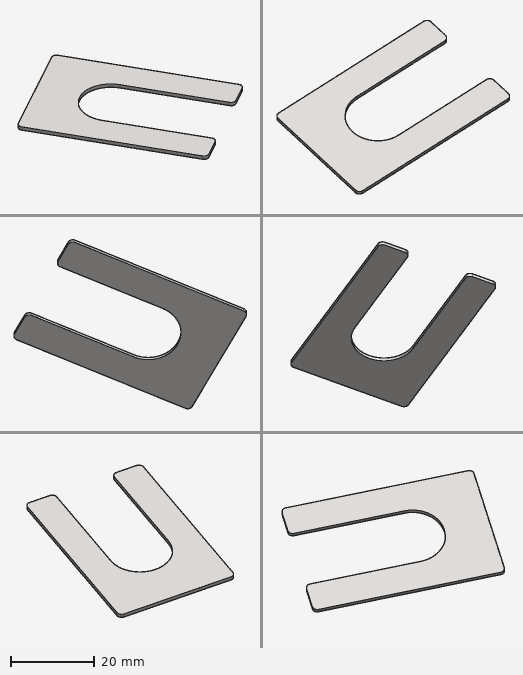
import cadquery as cq

length = 47.75
width = 31.75
thickness = 1.0
slot_width = 15.75
web_length = 11.15
corner_radius = 1.25

slot_radius = slot_width / 2
slot_center_x = -length / 2 + web_length + slot_radius

plate = cq.Workplane("XY").box(length, width, thickness)

slot_end = cq.Workplane("XY").center(slot_center_x, 0).circle(slot_radius).extrude(thickness, both=True)
slot_run = (
    cq.Workplane("XY")
    .box(length, slot_width, 2 * thickness)
    .translate((slot_center_x + length / 2, 0, 0))
)
fork = plate.cut(slot_run).cut(slot_end)

outer_edges = fork.edges("|Z and (<X or >X)")
result = outer_edges.fillet(corner_radius)